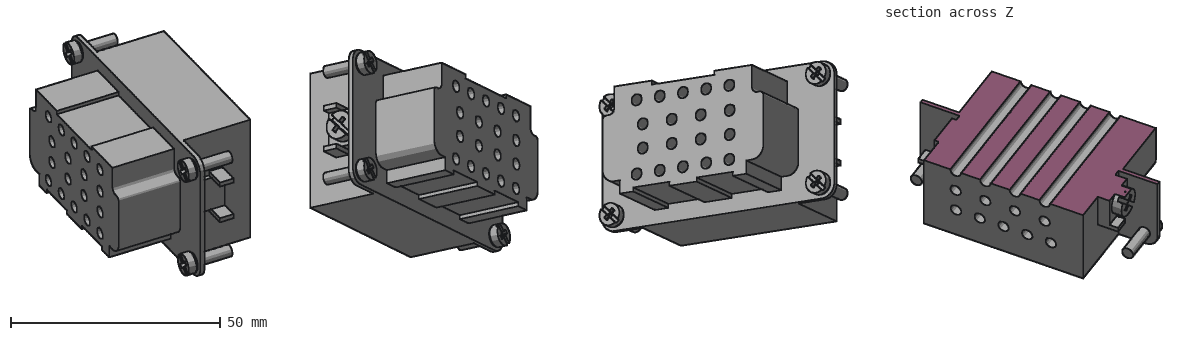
import cadquery as cq
import math


flange_length = 64.0
flange_height = 34.0
flange_thickness = 1.2
flange_corner_radius = 3.3
housing_length = 43.0
housing_height = flange_height
housing_rear = 19.4

block_depth = 16.8
block_half_height = 13.4
top_half_width = 19.0
middle_half_width = 22.15
bottom_half_width = 17.45
shoulder_z = 6.5
step_z = -10.1
shoulder_fillet = 1.5
shoulder_round = 1.0
lower_round = 3.1

keyway_depth = 1.0
top_keyway_width = 17.2
bottom_keyway_width = 10.0
bottom_keyway_offset = 8.75

contact_diameter = 2.8
outer_row_z = 9.2
inner_row_z = 3.0
outer_row = (-12.8, 6.4, 5)
inner_row = (-11.1, 8.0, 4)
contact_rows = [
    (outer_row_z, *outer_row),
    (inner_row_z, *inner_row),
    (-inner_row_z, *inner_row),
    (-outer_row_z, *outer_row),
]

screw_x = 28.5
screw_z = 13.5
screw_diameter = 3.0
screw_tip_y = 9.9
collar_diameter = 4.7
collar_height = 0.5
head_diameter = 5.5
head_height = 2.2
head_slot_width = 1.0
head_cross_length = 3.0
head_slot_depth = 0.6
head_cross_depth = 1.3

terminal_front_y = 2.7
terminal_step_y = 8.15
terminal_rear_y = 11.85
terminal_half_height = 4.55
tab_half_height = 5.75
tab_reach_x = 26.95
left_base_x = 24.65
right_base_x = 22.65

terminal_screw_y = 7.25
terminal_screw_diameter = 7.0
terminal_screw_face_x = 27.3
terminal_slot_width = 1.1
terminal_cross_length = 4.0
terminal_slot_depth = 1.4

slot_angle = 45.0


def box(x0, x1, y0, y1, z0, z1):
    """Axis-aligned box between two corners given in any order."""
    block = cq.Workplane("XY").box(abs(x1 - x0), abs(y1 - y0), abs(z1 - z0))
    return block.translate(((x0 + x1) / 2, (y0 + y1) / 2, (z0 + z1) / 2))


def front_plane(y):
    """Plane parallel to XZ at the given Y, facing -Y."""
    return cq.Workplane("XZ", origin=(0, y, 0))


def make_flange_and_housing():
    flange = (
        front_plane(flange_thickness)
        .rect(flange_length, flange_height)
        .extrude(flange_thickness)
        .edges("|Y")
        .fillet(flange_corner_radius)
    )
    housing = (
        front_plane(housing_rear)
        .rect(housing_length, housing_height)
        .extrude(housing_rear - flange_thickness)
    )
    return flange.union(housing)


def make_block():
    arc_inset = 1 - math.sqrt(0.5)
    fillet_inset = shoulder_fillet * arc_inset
    shoulder_inset = shoulder_round * arc_inset
    lower_inset = lower_round * arc_inset
    half_block = (
        front_plane(0)
        .moveTo(0, block_half_height)
        .lineTo(top_half_width, block_half_height)
        .lineTo(top_half_width, shoulder_z + shoulder_fillet)
        .threePointArc(
            (top_half_width + fillet_inset, shoulder_z + fillet_inset),
            (top_half_width + shoulder_fillet, shoulder_z),
        )
        .lineTo(middle_half_width - shoulder_round, shoulder_z)
        .threePointArc(
            (middle_half_width - shoulder_inset, shoulder_z - shoulder_inset),
            (middle_half_width, shoulder_z - shoulder_round),
        )
        .lineTo(middle_half_width, step_z + lower_round)
        .threePointArc(
            (middle_half_width - lower_inset, step_z + lower_inset),
            (middle_half_width - lower_round, step_z),
        )
        .lineTo(bottom_half_width, step_z)
        .lineTo(bottom_half_width, -block_half_height)
        .lineTo(0, -block_half_height)
        .close()
        .extrude(block_depth)
    )
    block = half_block.union(half_block.mirror("YZ"))
    return block.cut(make_keyways())


def make_keyway(center_x, width, side):
    """Keyway in the top (side = 1) or bottom (side = -1) of the block."""
    outer_z = side * block_half_height
    return box(
        center_x - width / 2, center_x + width / 2,
        -block_depth, 0,
        outer_z, outer_z - side * keyway_depth,
    )


def make_keyways():
    keyways = make_keyway(0, top_keyway_width, 1)
    for center_x in (-bottom_keyway_offset, bottom_keyway_offset):
        keyways = keyways.union(make_keyway(center_x, bottom_keyway_width, -1))
    return keyways


def make_contact_holes():
    centers = []
    for z, first_x, pitch, count in contact_rows:
        for index in range(count):
            centers.append((first_x + index * pitch, z))
    return (
        front_plane(housing_rear)
        .pushPoints(centers)
        .circle(contact_diameter / 2)
        .extrude(housing_rear + block_depth)
    )


def driver_recess(face, slot_length, cross_length, width, slot_depth, cross_depth):
    """Driver recess in a screw face: a full-length slot crossed by a short one."""
    turned_face = face.transformed(rotate=(0, 0, slot_angle))
    slot = turned_face.rect(width, slot_length).extrude(-slot_depth)
    cross = turned_face.rect(cross_length, width).extrude(-cross_depth)
    return slot.union(cross)


def make_flange_screw(x, z):
    face_y = -(collar_height + head_height)
    shaft = front_plane(screw_tip_y).center(x, z).circle(screw_diameter / 2)
    collar = front_plane(0).center(x, z).circle(collar_diameter / 2)
    head = front_plane(-collar_height).center(x, z).circle(head_diameter / 2)
    recess = driver_recess(
        cq.Workplane("XZ", origin=(x, face_y, z)),
        head_diameter, head_cross_length, head_slot_width,
        head_slot_depth, head_cross_depth,
    )
    return (
        shaft.extrude(screw_tip_y)
        .union(collar.extrude(collar_height))
        .union(head.extrude(head_height))
        .cut(recess)
    )


def make_terminal(side, base_x):
    """Clamp base with a tab above and below it; side is the sign of X."""
    inner_x = side * housing_length / 2
    terminal = box(
        inner_x, side * base_x,
        terminal_front_y, terminal_rear_y,
        -terminal_half_height, terminal_half_height,
    )
    for z_sign in (-1, 1):
        tab = box(
            inner_x, side * tab_reach_x,
            terminal_step_y, terminal_rear_y,
            z_sign * terminal_half_height, z_sign * tab_half_height,
        )
        terminal = terminal.union(tab)
    return terminal


def make_terminal_screw():
    face = cq.Workplane(
        cq.Plane(
            origin=(-terminal_screw_face_x, terminal_screw_y, 0),
            xDir=(0, -1, 0),
            normal=(-1, 0, 0),
        )
    )
    head = face.circle(terminal_screw_diameter / 2)
    head = head.extrude(left_base_x - terminal_screw_face_x)
    recess = driver_recess(
        face, terminal_screw_diameter, terminal_cross_length,
        terminal_slot_width, terminal_slot_depth, terminal_slot_depth,
    )
    return head.cut(recess)


result = make_flange_and_housing().union(make_block()).cut(make_contact_holes())
for screw_side in (-1, 1):
    for screw_level in (-1, 1):
        result = result.union(make_flange_screw(screw_side * screw_x, screw_level * screw_z))
result = result.union(make_terminal(-1, left_base_x)).union(make_terminal_screw())
result = result.union(make_terminal(1, right_base_x))